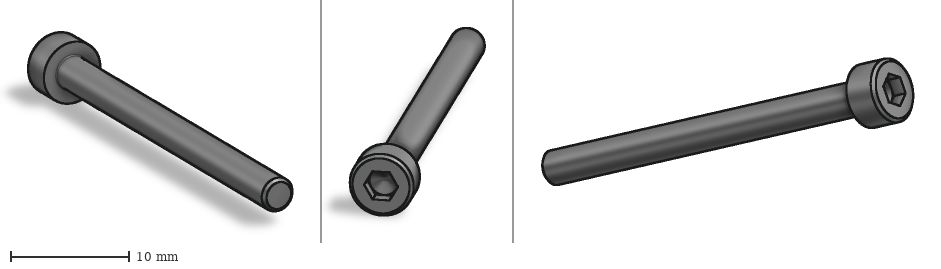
import cadquery as cq
import math

total_length = 38.0
head_diameter = 5.5
head_height = 3.0
head_chamfer = 0.3
shank_diameter = 3.0
tip_chamfer = 0.3
neck_fillet = 0.1

socket_flats = 2.5
socket_depth = 1.3
socket_cone_angle = 120.0

head_radius = head_diameter / 2
shank_radius = shank_diameter / 2
socket_corners = socket_flats / math.cos(math.pi / 6)


def make_body():
    """Head and shank revolved about the X axis."""
    profile = (
        cq.Workplane("XY")
        .moveTo(0, 0)
        .lineTo(0, head_radius - head_chamfer)
        .lineTo(head_chamfer, head_radius)
        .lineTo(head_height, head_radius)
        .lineTo(head_height, shank_radius + neck_fillet)
        .radiusArc((head_height + neck_fillet, shank_radius), -neck_fillet)
        .lineTo(total_length - tip_chamfer, shank_radius)
        .lineTo(total_length, shank_radius - tip_chamfer)
        .lineTo(total_length, 0)
        .close()
    )
    return profile.revolve(360, (0, 0, 0), (1, 0, 0))


def make_socket():
    """Hexagonal recess with a drill-point cone inscribed at its bottom."""
    hexagon = cq.Workplane("YZ").polygon(6, socket_corners).extrude(socket_depth)
    cone_radius = socket_flats / 2
    cone_height = cone_radius / math.tan(math.radians(socket_cone_angle / 2))
    cone = cq.Workplane(
        cq.Solid.makeCone(
            cone_radius, 0, cone_height, cq.Vector(socket_depth, 0, 0), cq.Vector(1, 0, 0)
        )
    )
    return hexagon.union(cone)


result = make_body().cut(make_socket())